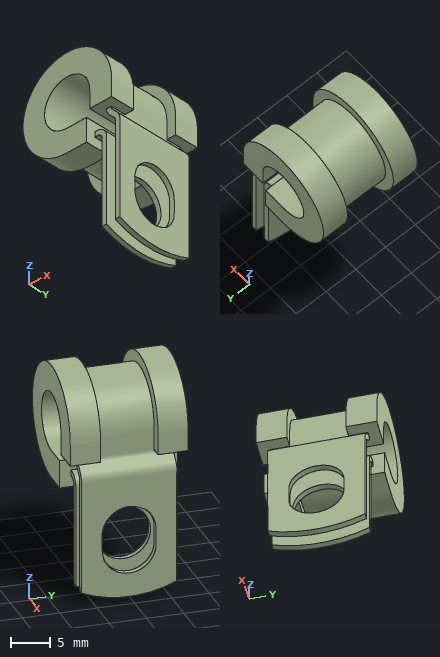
import cadquery as cq
import math

overall_height = 29.97
cushion_radius = 7.837
cushion_width = 15.75
bore_radius = 4.0
upper_end_z = -2.9
lower_end_x = 3.42

groove_width = 7.67
strap_outer_radius = 6.3
strap_thickness = 0.8
strap_width = 12.75
bend_inner_radius = 0.8
lower_leg_outer_x = 5.48
jog_angle = math.radians(45)

hole_diameter = 7.2
hole_height = 7.9
slot_length = 9.23
tip_rise = 1.32

tip_z = cushion_radius - overall_height
strap_mid_radius = strap_outer_radius - strap_thickness / 2
bend_radius = bend_inner_radius + strap_thickness / 2
upper_leg_x = cushion_radius - strap_thickness / 2
lower_leg_x = lower_leg_outer_x - strap_thickness / 2


def loop(outer_radius, inner_radius, width):
    """Three-quarter ring with straight ends, centred on the XZ plane."""
    diagonal = math.sqrt(0.5)
    return (
        cq.Workplane("XZ")
        .moveTo(outer_radius, upper_end_z)
        .lineTo(outer_radius, 0)
        .threePointArc((-outer_radius * diagonal, outer_radius * diagonal), (0, -outer_radius))
        .lineTo(lower_end_x, -outer_radius)
        .lineTo(lower_end_x, -inner_radius)
        .lineTo(0, -inner_radius)
        .threePointArc((-inner_radius * diagonal, inner_radius * diagonal), (inner_radius, 0))
        .lineTo(inner_radius, upper_end_z)
        .close()
        .extrude(width / 2, both=True)
    )


def upper_leg():
    """Strap leg that jogs outward from the loop, then runs straight down."""
    bend_x = bend_radius * (1 - math.cos(jog_angle))
    bend_z = bend_radius * math.sin(jog_angle)
    slope_x = upper_leg_x - strap_mid_radius - 2 * bend_x
    slope_z = slope_x / math.tan(jog_angle)
    slope_start = (strap_mid_radius + bend_x, upper_end_z - bend_z)
    slope_end = (upper_leg_x - bend_x, slope_start[1] - slope_z)
    path = (
        cq.Workplane("XZ")
        .moveTo(strap_mid_radius, upper_end_z)
        .radiusArc(slope_start, -bend_radius)
        .lineTo(*slope_end)
        .radiusArc((upper_leg_x, slope_end[1] - bend_z), bend_radius)
        .lineTo(upper_leg_x, tip_z)
    )
    section = cq.Workplane("XY", origin=(strap_mid_radius, 0, upper_end_z))
    return section.rect(strap_thickness, strap_width).sweep(path)


def lower_leg():
    """Strap leg that leaves the loop sideways and bends straight down."""
    path = (
        cq.Workplane("XZ")
        .moveTo(lower_end_x, -strap_mid_radius)
        .lineTo(lower_leg_x - bend_radius, -strap_mid_radius)
        .radiusArc((lower_leg_x, -strap_mid_radius - bend_radius), bend_radius)
        .lineTo(lower_leg_x, tip_z)
    )
    section = cq.Workplane("YZ", origin=(lower_end_x, 0, -strap_mid_radius))
    return section.rect(strap_width, strap_thickness).sweep(path)


def trim_leg(leg, hole_length):
    """Round the tip of a leg and cut its bolt hole, elongated along Z if longer than wide."""
    half_width = strap_width / 2
    outline = (
        cq.Workplane("YZ")
        .moveTo(-half_width, 0)
        .lineTo(-half_width, tip_z + tip_rise)
        .threePointArc((0, tip_z), (half_width, tip_z + tip_rise))
        .lineTo(half_width, 0)
        .close()
        .extrude(cushion_radius)
    )
    hole_plane = cq.Workplane("YZ").center(0, tip_z + hole_height)
    if hole_length > hole_diameter:
        hole_shape = hole_plane.slot2D(hole_length, hole_diameter, 90)
    else:
        hole_shape = hole_plane.circle(hole_diameter / 2)
    return leg.intersect(outline).cut(hole_shape.extrude(cushion_radius))


groove = loop(cushion_radius, strap_outer_radius, groove_width)
cushion = loop(cushion_radius, bore_radius, cushion_width).cut(groove)
slotted_leg = trim_leg(upper_leg(), slot_length)
round_hole_leg = trim_leg(lower_leg(), hole_diameter)
clamp = cushion.union(slotted_leg).union(round_hole_leg)
result = cq.Workplane(clamp.solids().val())